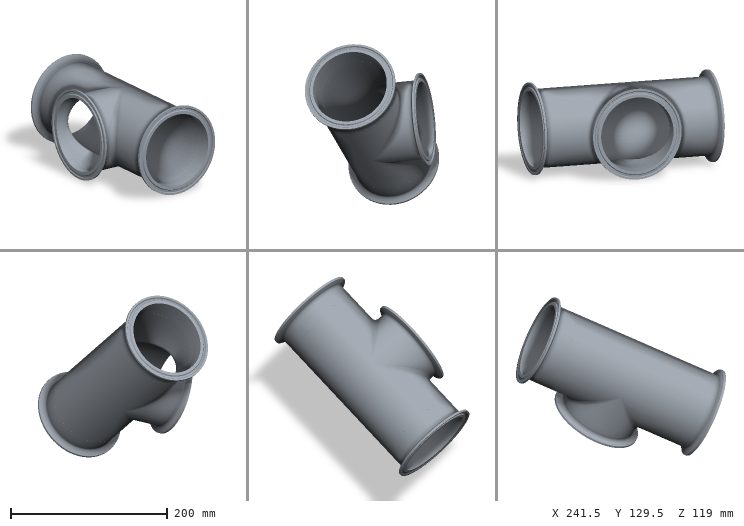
import cadquery as cq
import math

tube_radius = 101.6 / 2
bore_radius = 97.3 / 2

run_length = 241.5
overall_depth = 129.5
run_ferrule_length = 29.0
branch_ferrule_length = 12.8
crotch_fillet = 6.0

flange_radius = 119.0 / 2
rim_thickness = 3.0
rim_edge_fillet = 0.7
flange_back_angle = math.radians(20)
neck_fillet = 2.0

groove_mouth_inner = 52.6
groove_mouth_outer = 57.0
groove_floor_inner = 53.5
groove_floor_outer = 56.0
groove_depth = 1.5

branch_face_distance = overall_depth - flange_radius

plane_tolerance = 0.0002

run_tee_half = run_length / 2 - run_ferrule_length
branch_tee_end = branch_face_distance - branch_ferrule_length


def circles_at_height(body, height):
    """Circular edges of a body lying in the plane Z = height."""
    return body.edges("%CIRCLE").filter(lambda edge: abs(edge.Center().z - height) < plane_tolerance)


def make_ferrule(length):
    """Ferrule on the Z axis, sealing face at Z = 0 and tube end at Z = length."""
    back_height = (flange_radius - tube_radius) * math.tan(flange_back_angle)
    neck_start = rim_thickness + back_height
    profile = (
        cq.Workplane("XZ")
        .moveTo(bore_radius, 0)
        .lineTo(groove_mouth_inner, 0)
        .lineTo(groove_floor_inner, groove_depth)
        .lineTo(groove_floor_outer, groove_depth)
        .lineTo(groove_mouth_outer, 0)
        .lineTo(flange_radius, 0)
        .lineTo(flange_radius, rim_thickness)
        .lineTo(tube_radius, neck_start)
        .lineTo(tube_radius, length)
        .lineTo(bore_radius, length)
        .close()
    )
    ferrule = profile.revolve(360, (0, 0, 0), (0, 1, 0))
    ferrule = circles_at_height(ferrule, neck_start).fillet(neck_fillet)
    return circles_at_height(ferrule, rim_thickness).fillet(rim_edge_fillet)


def run_cylinder(radius):
    """Cylinder along the run, between its two ferrules."""
    return cq.Workplane("YZ").circle(radius).extrude(run_tee_half, both=True)


def branch_cylinder(radius):
    """Cylinder from the run axis to the branch ferrule."""
    return cq.Workplane("XZ").circle(radius).extrude(branch_tee_end)


def tee_shape(radius):
    """Solid equal tee, rounded where the branch leaves the run."""
    crossing = run_cylinder(radius).union(branch_cylinder(radius))
    return crossing.edges("%ELLIPSE").fillet(crotch_fillet)


def make_tee():
    """Hollow tee with the same crotch rounding outside and inside."""
    outside = tee_shape(tube_radius)
    inside = tee_shape(bore_radius)
    return outside.cut(inside)


def make_run_ferrules():
    """Ferrules at both ends of the run, sealing faces outward."""
    ferrules = []
    for side in (-1, 1):
        ferrule = make_ferrule(run_ferrule_length).rotate((0, 0, 0), (0, 1, 0), -90 * side)
        ferrules.append(ferrule.translate((side * run_length / 2, 0, 0)).val())
    return ferrules


tee = make_tee()
run_ferrules = make_run_ferrules()
branch_ferrule = (
    make_ferrule(branch_ferrule_length)
    .rotate((0, 0, 0), (1, 0, 0), -90)
    .translate((0, -branch_face_distance, 0))
)

result = cq.Compound.makeCompound([tee.val(), *run_ferrules, branch_ferrule.val()])